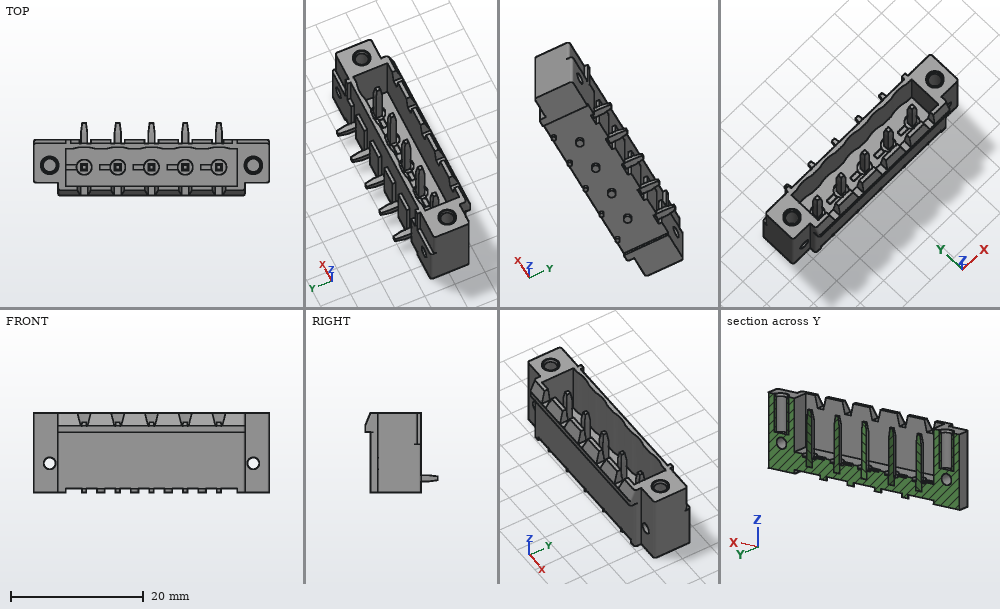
import cadquery as cq

POLES = 5
PITCH = 5.08
HEIGHT = 12.0
LENGTH = 7 * PITCH

BODY_LENGTH = 28.2
BODY_FRONT = -7.65
FLANGE_FRONT = -6.5
REAR_WALL = -0.55
FOOT_TOP = 7.25
CORNER_RADIUS = 0.4

LIP_FRONT = -8.45
LIP_BOTTOM = 9.1
LIP_TOP = 10.06

CAVITY_LENGTH = 25.8
CAVITY_FRONT = -7.0
CAVITY_BACK = -1.35
CAVITY_FLOOR = 3.5
SCALLOP_CHORD = 3.3
SCALLOP_DEPTH = 0.25

NOTCH_TOP_WIDTH = 2.0
NOTCH_BOTTOM_WIDTH = 1.05

FLOOR_RECESS_DIAMETER = 2.3
FLOOR_RECESS_DEPTH = 0.5
FLOOR_SLOT_DEPTH = 0.25
FLOOR_SLOT_WIDTH = 0.75
FLOOR_SLOT_REACH = 2.74

TAIL_NOTCH_WIDTH = 2.06
TAIL_NOTCH_LIMIT = 10.82
RIB_WIDTH = 0.74

UNDERCUT_HEIGHT = 0.6
SMALL_STUD_DIAMETER = 0.7
SMALL_STUD_Y = -7.24
LARGE_STUD_DIAMETER = 1.2

CONTACT_Y = -4.15
CONTACT_WIDTH = 1.0
CONTACT_TIP_WIDTH = 0.6
CONTACT_TAPER = 1.5
CONTACT_TOP = 10.6
TAIL_END = 2.55
TAIL_Z = 2.14

INSERT_SPACING = 30.7
INSERT_Y = -3.87
INSERT_DIAMETER = 2.7
INSERT_BORE = 2.01
INSERT_MOUTH = 2.35
INSERT_MOUTH_DEPTH = 0.4
INSERT_DEPTH = 6.0

CROSS_HOLE_DIAMETER = 1.75
CROSS_HOLE_Z = 4.4

POLE_X = [(i - (POLES - 1) / 2) * PITCH for i in range(POLES)]
MID_POLE_X = [x + PITCH / 2 for x in POLE_X[:-1]]
FLANGE_X = [-INSERT_SPACING / 2, INSERT_SPACING / 2]


def box(x0, x1, y0, y1, z0, z1):
    """Box between opposite corners."""
    return cq.Workplane("XY").box(x1 - x0, y1 - y0, z1 - z0, centered=False).translate((x0, y0, z0))


def cylinder(x, y, diameter, z0, z1):
    """Upright cylinder."""
    return cq.Workplane("XY", origin=(x, y, z0)).circle(diameter / 2).extrude(z1 - z0)


def contact(x):
    half = CONTACT_WIDTH / 2
    heel_bottom = TAIL_Z - half
    heel_front = CONTACT_Y - half
    pin_taper_start = CONTACT_TOP - CONTACT_TAPER
    tail_taper_start = TAIL_END - CONTACT_TAPER

    pin = box(x - half, x + half, heel_front, CONTACT_Y + half, heel_bottom, pin_taper_start)
    tail = box(x - half, x + half, heel_front, tail_taper_start, heel_bottom, TAIL_Z + half)
    pin_tip = (
        cq.Workplane("XY", origin=(x, CONTACT_Y, pin_taper_start))
        .rect(CONTACT_WIDTH, CONTACT_WIDTH)
        .workplane(offset=CONTACT_TAPER)
        .rect(CONTACT_TIP_WIDTH, CONTACT_TIP_WIDTH)
        .loft(ruled=True)
    )
    tail_tip = (
        cq.Workplane("XZ", origin=(x, tail_taper_start, TAIL_Z))
        .rect(CONTACT_WIDTH, CONTACT_WIDTH)
        .workplane(offset=-CONTACT_TAPER)
        .rect(CONTACT_TIP_WIDTH, CONTACT_TIP_WIDTH)
        .loft(ruled=True)
    )
    return pin.union(tail).union(pin_tip).union(tail_tip)


def insert(x):
    half_profile = [
        (INSERT_BORE / 2, HEIGHT - INSERT_DEPTH),
        (INSERT_DIAMETER / 2, HEIGHT - INSERT_DEPTH),
        (INSERT_DIAMETER / 2, HEIGHT),
        (INSERT_MOUTH / 2, HEIGHT),
        (INSERT_BORE / 2, HEIGHT - INSERT_MOUTH_DEPTH),
    ]
    sleeve = cq.Workplane("XZ").polyline(half_profile).close().revolve(360, (0, 0), (0, 1))
    return sleeve.translate((x, INSERT_Y, 0))


def flange_block():
    """Full-length block whose foot stands proud of the rear wall."""
    upper = box(-LENGTH / 2, LENGTH / 2, FLANGE_FRONT, REAR_WALL, FOOT_TOP, HEIGHT)
    lower = box(-LENGTH / 2, LENGTH / 2, FLANGE_FRONT, 0, 0, FOOT_TOP)
    return upper.edges("|Z").fillet(CORNER_RADIUS).union(lower.edges("|Z").fillet(CORNER_RADIUS))


def front_block():
    """Middle block with the latching lip; its front end edges are rounded."""
    profile = [
        (CAVITY_BACK, 0),
        (BODY_FRONT, 0),
        (BODY_FRONT, LIP_BOTTOM),
        (LIP_FRONT, LIP_BOTTOM),
        (LIP_FRONT, LIP_TOP),
        (BODY_FRONT, HEIGHT),
        (CAVITY_BACK, HEIGHT),
    ]
    half = BODY_LENGTH / 2
    block = cq.Workplane("YZ", origin=(-half, 0, 0)).polyline(profile).close().extrude(BODY_LENGTH)

    lip_middle_z = (LIP_BOTTOM + LIP_TOP) / 2
    slope_middle = ((BODY_FRONT + LIP_FRONT) / 2, (HEIGHT + LIP_TOP) / 2)
    edge_middles = [(BODY_FRONT, LIP_BOTTOM / 2), (LIP_FRONT, lip_middle_z), slope_middle]
    edges = [
        block.edges(cq.selectors.NearestToPointSelector((x, y, z))).val()
        for x in (-half, half)
        for y, z in edge_middles
    ]
    return block.newObject(edges).fillet(CORNER_RADIUS)


def rear_ribs():
    """Two ribs at the ends of the cavity that carry the foot depth up to the top."""
    outer = CAVITY_LENGTH / 2
    inner = outer - RIB_WIDTH
    left = box(-outer, -inner, REAR_WALL, 0, FOOT_TOP, HEIGHT)
    return left.union(left.mirror("YZ"))


def cavity():
    """Plug space with a shallow scallop in the rear wall behind each contact."""
    half = CAVITY_LENGTH / 2
    outline = cq.Workplane("XY", origin=(0, 0, CAVITY_FLOOR)).moveTo(-half, CAVITY_FRONT)
    outline = outline.lineTo(-half, CAVITY_BACK)
    for x in POLE_X:
        outline = outline.lineTo(x - SCALLOP_CHORD / 2, CAVITY_BACK).threePointArc(
            (x, CAVITY_BACK + SCALLOP_DEPTH), (x + SCALLOP_CHORD / 2, CAVITY_BACK)
        )
    outline = outline.lineTo(half, CAVITY_BACK).lineTo(half, CAVITY_FRONT).close()
    return outline.extrude(HEIGHT - CAVITY_FLOOR)


def coding_notch(x):
    """Tapered notch through the front wall, down to the lip."""
    top = NOTCH_TOP_WIDTH / 2
    bottom = NOTCH_BOTTOM_WIDTH / 2
    outline = [(x - bottom, LIP_TOP), (x + bottom, LIP_TOP), (x + top, HEIGHT), (x - top, HEIGHT)]
    wall_start = cq.Workplane("XZ", origin=(0, CAVITY_FRONT, 0))
    return wall_start.polyline(outline).close().extrude(CAVITY_FRONT - LIP_FRONT)


def floor_recess(x):
    """Round recess about a contact with a slot leading off to -X."""
    bottom = CAVITY_FLOOR - FLOOR_RECESS_DEPTH
    half = FLOOR_SLOT_WIDTH / 2
    slot_bottom = CAVITY_FLOOR - FLOOR_SLOT_DEPTH
    slot = box(x - FLOOR_SLOT_REACH, x, CONTACT_Y - half, CONTACT_Y + half, slot_bottom, CAVITY_FLOOR)
    return slot.union(cylinder(x, CONTACT_Y, FLOOR_RECESS_DIAMETER, bottom, CAVITY_FLOOR))


def tail_notch(x):
    """Gap in the foot around a contact tail."""
    left = max(x - TAIL_NOTCH_WIDTH / 2, -TAIL_NOTCH_LIMIT)
    right = min(x + TAIL_NOTCH_WIDTH / 2, TAIL_NOTCH_LIMIT)
    return box(left, right, REAR_WALL, 0, 0, FOOT_TOP)


def cross_hole(x):
    """Hole through a flange from front to rear."""
    front = cq.Workplane("XZ", origin=(x, 0, CROSS_HOLE_Z))
    return front.circle(CROSS_HOLE_DIAMETER / 2).extrude(-FLANGE_FRONT)


def undercut():
    """Clearance under the middle of the housing, open to the front and rear."""
    half = CAVITY_LENGTH / 2
    return box(-half, half, BODY_FRONT, 0, 0, UNDERCUT_HEIGHT)


def build_housing():
    housing = flange_block().union(front_block()).union(rear_ribs())
    housing = housing.cut(cavity()).cut(undercut())
    for x in POLE_X:
        housing = housing.cut(coding_notch(x)).cut(floor_recess(x)).cut(tail_notch(x)).cut(contact(x))
        housing = housing.union(cylinder(x, SMALL_STUD_Y, SMALL_STUD_DIAMETER, 0, UNDERCUT_HEIGHT))
    for x in MID_POLE_X:
        housing = housing.union(cylinder(x, CONTACT_Y, LARGE_STUD_DIAMETER, 0, UNDERCUT_HEIGHT))
    for x in FLANGE_X:
        seat = cylinder(x, INSERT_Y, INSERT_DIAMETER, HEIGHT - INSERT_DEPTH, HEIGHT)
        housing = housing.cut(seat).cut(cross_hole(x))
    return housing


housing = build_housing()
contacts = [contact(x).val() for x in POLE_X]
inserts = [insert(x).val() for x in FLANGE_X]

result = cq.Compound.makeCompound([housing.val(), *contacts, *inserts])